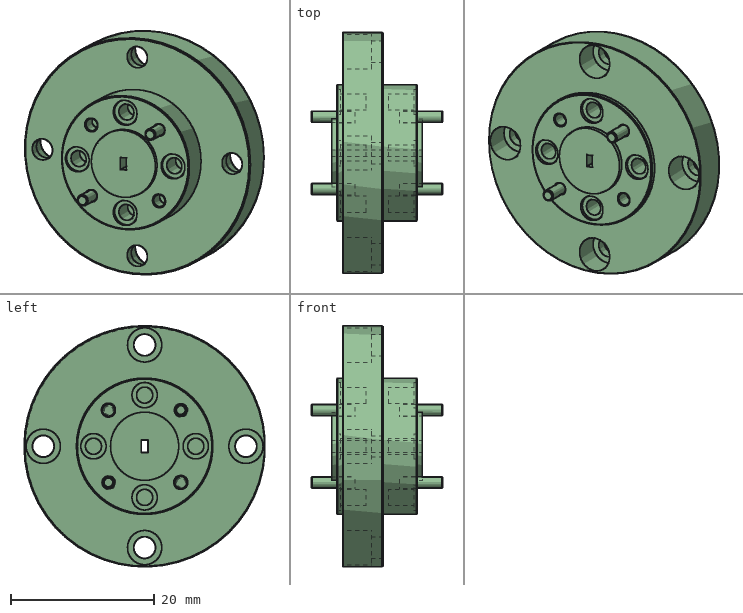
import cadquery as cq

FLANGE_DIAMETER = 33.65
FLANGE_BACK_X = -4.8
FLANGE_FRONT_X = 0.85
HUB_DIAMETER = 19.05
HUB_LENGTH = 11.25
BOSS_DIAMETER = 9.53
BOSS_HEIGHT = 0.7
HUB_CHAMFER = 0.15
FLANGE_BACK_CHAMFER = 0.1
FLANGE_FRONT_CHAMFER = 0.17

RIM_HOLE_RADIUS = 14.15
RIM_HOLE_DIAMETER = 3.0
RIM_BORE_DIAMETER = 4.78
RIM_BORE_DEPTH = 4.0

PORT_CIRCLE_RADIUS = 7.15
SCREW_DIAMETER = 2.25
SCREW_DEPTH = 4.05
SCREW_BORE_DIAMETER = 3.55
SCREW_BORE_DEPTH = 0.5
SOCKET_DIAMETER = 1.68
SOCKET_DEPTH = 2.52
SOCKET_CHAMFER = 0.15

PIN_DIAMETER = 1.58
PIN_SPAN = 18.4
PIN_CHAMFER = 0.17
PIN_HOLE_DEPTH = 2.52
PIN_HOLE_CHAMFER = 0.1

GUIDE_WIDTH = 0.9
GUIDE_HEIGHT = 1.7

FACE_X = HUB_LENGTH / 2
BOSS_X = FACE_X + BOSS_HEIGHT
PIN_TIP_X = PIN_SPAN / 2
QUARTER_TURN = 90
HALF_TURN = 180
PIN_ANGLES = (135, 315)
SOCKET_ANGLES = (45, 225)
RIGHT_ANGLES = tuple(QUARTER_TURN * i for i in range(4))


def rod(diameter, x_start, x_end):
    """Cylinder on the X axis."""
    return (
        cq.Workplane("YZ", origin=(x_start, 0, 0))
        .circle(diameter / 2)
        .extrude(x_end - x_start)
    )


def placed(shape, radius, angle):
    """Move a shape from the X axis to a polar position around that axis."""
    return shape.translate((0, radius, 0)).rotate((0, 0, 0), (1, 0, 0), angle)


def other_side(shape):
    """Turn a feature of the -X hub face over to the +X hub face."""
    return shape.rotate((0, 0, 0), (0, 0, 1), HALF_TURN)


def chamfered_hole(diameter, depth, chamfer):
    """Cutter for a blind hole in the -X hub face with a chamfered mouth."""
    mouth = (
        cq.Workplane("YZ", origin=(-FACE_X, 0, 0))
        .circle(diameter / 2 + chamfer)
        .workplane(offset=chamfer)
        .circle(diameter / 2)
        .loft()
    )
    return rod(diameter, -FACE_X, -FACE_X + depth).union(mouth)


def rim_hole():
    """Cutter for a flange bolt hole, counterbored from -X."""
    through = rod(RIM_HOLE_DIAMETER, FLANGE_BACK_X, FLANGE_FRONT_X)
    bore = rod(RIM_BORE_DIAMETER, FLANGE_BACK_X, FLANGE_BACK_X + RIM_BORE_DEPTH)
    return through.union(bore)


def screw_hole():
    """Cutter for a counterbored blind screw hole in the -X hub face."""
    drill = rod(SCREW_DIAMETER, -FACE_X, -FACE_X + SCREW_DEPTH)
    bore = rod(SCREW_BORE_DIAMETER, -FACE_X, -FACE_X + SCREW_BORE_DEPTH)
    return drill.union(bore)


def hub_face_holes():
    """All the holes in the -X hub face."""
    pin_hole = chamfered_hole(PIN_DIAMETER, PIN_HOLE_DEPTH, PIN_HOLE_CHAMFER)
    socket = chamfered_hole(SOCKET_DIAMETER, SOCKET_DEPTH, SOCKET_CHAMFER)
    holes = [placed(screw_hole(), PORT_CIRCLE_RADIUS, a) for a in RIGHT_ANGLES]
    holes += [placed(pin_hole, PORT_CIRCLE_RADIUS, a) for a in PIN_ANGLES]
    holes += [placed(socket, PORT_CIRCLE_RADIUS, a) for a in SOCKET_ANGLES]
    return holes


def make_housing():
    """Flange, hub and bosses in one piece, with all their holes."""
    flange = rod(FLANGE_DIAMETER, FLANGE_BACK_X, FLANGE_FRONT_X)
    hub = rod(HUB_DIAMETER, -FACE_X, FACE_X)
    flange = flange.faces("<X").chamfer(FLANGE_BACK_CHAMFER)
    flange = flange.faces(">X").chamfer(FLANGE_FRONT_CHAMFER)
    body = flange.union(hub.faces("<X or >X").chamfer(HUB_CHAMFER))
    body = body.union(rod(BOSS_DIAMETER, -BOSS_X, BOSS_X))

    for angle in RIGHT_ANGLES:
        body = body.cut(placed(rim_hole(), RIM_HOLE_RADIUS, angle))
    for hole in hub_face_holes():
        body = body.cut(hole).cut(other_side(hole))

    guide = cq.Workplane("XY").box(2 * BOSS_X, GUIDE_WIDTH, GUIDE_HEIGHT)
    return body.cut(guide)


def make_pin():
    """Alignment pin on the X axis, seated in the -X hub face."""
    pin = rod(PIN_DIAMETER, -PIN_TIP_X, -FACE_X + PIN_HOLE_DEPTH)
    return pin.faces("<X").chamfer(PIN_CHAMFER)


housing = make_housing()

pins = []
for pin_angle in PIN_ANGLES:
    pin = placed(make_pin(), PORT_CIRCLE_RADIUS, pin_angle)
    pins += [pin.val(), other_side(pin).val()]

result = cq.Compound.makeCompound([housing.val(), *pins])